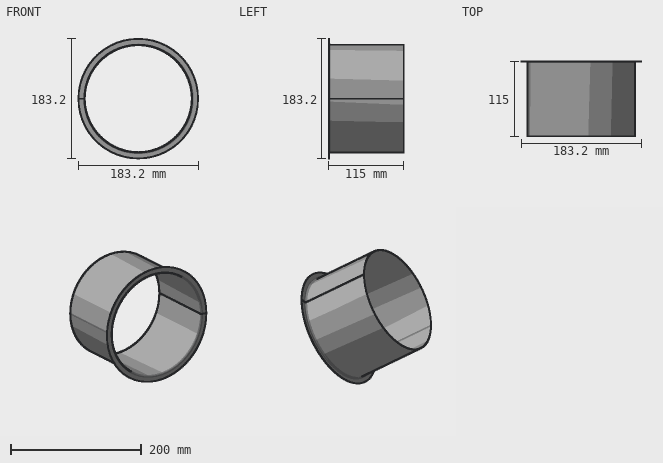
import cadquery as cq

flange_diameter = 183.2
tube_outer_diameter = 165.2
tube_inner_diameter = 163.2
length = 115.0
neck_fillet = 1.0
seam_gap = 0.1

flange_radius = flange_diameter / 2
outer_radius = tube_outer_diameter / 2
inner_radius = tube_inner_diameter / 2
sheet = outer_radius - inner_radius
bend_radius = neck_fillet + sheet

front_y = -length / 2
back_y = length / 2
flange_front_y = back_y - sheet

section = (
    cq.Workplane("XY")
    .moveTo(inner_radius, front_y)
    .lineTo(outer_radius, front_y)
    .lineTo(outer_radius, flange_front_y - neck_fillet)
    .radiusArc((outer_radius + neck_fillet, flange_front_y), neck_fillet)
    .lineTo(flange_radius, flange_front_y)
    .lineTo(flange_radius, back_y)
    .lineTo(inner_radius + bend_radius, back_y)
    .radiusArc((inner_radius, back_y - bend_radius), -bend_radius)
    .close()
)

collar = section.revolve(360, (0, 0, 0), (0, 1, 0))

seam = cq.Workplane("XY").box(flange_radius, length, seam_gap, centered=(False, True, False))
seam = seam.translate((-flange_radius, 0, 0))

result = collar.cut(seam)